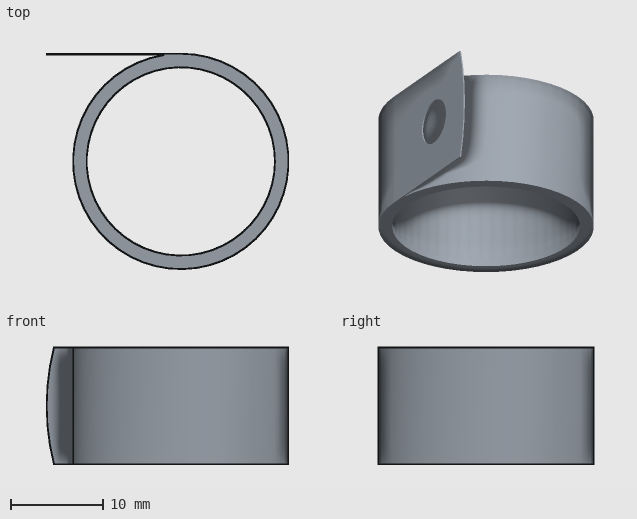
import cadquery as cq

outer_diameter = 23.4
inner_diameter = 20.4
width = 12.7

tab_thickness = 0.15
tab_reach = 14.57
tab_end_bulge = 0.8
hole_diameter = 5.0
hole_offset = 8.35

outer_radius = outer_diameter / 2
half_width = width / 2
tab_corner_x = tab_end_bulge - tab_reach


def make_ring():
    """Plain ring of rectangular section."""
    return (
        cq.Workplane("XY", origin=(0, 0, -half_width))
        .circle(outer_radius)
        .circle(inner_diameter / 2)
        .extrude(width)
    )


def make_tab():
    """Flat strip with a rounded free end and a round hole."""
    strip = (
        cq.Workplane("XZ", origin=(0, outer_radius, 0))
        .moveTo(0, -half_width)
        .lineTo(tab_corner_x, -half_width)
        .threePointArc((-tab_reach, 0), (tab_corner_x, half_width))
        .lineTo(0, half_width)
        .close()
        .extrude(tab_thickness)
    )
    hole = (
        cq.Workplane("XZ", origin=(-hole_offset, outer_radius, 0))
        .circle(hole_diameter / 2)
        .extrude(tab_thickness)
    )
    return strip.cut(hole)


result = make_ring().union(make_tab())